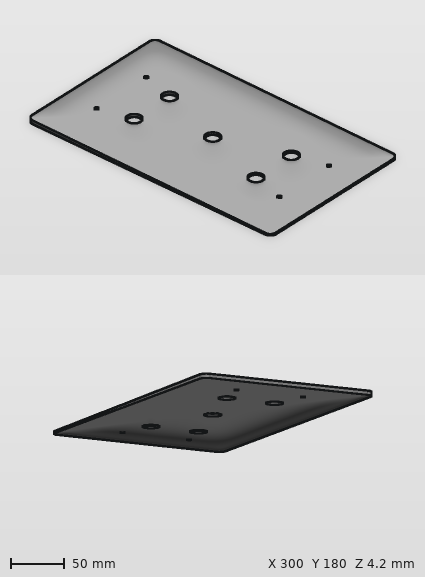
import cadquery as cq

length = 300.0
width = 180.0
thick_end = 4.2
thin_end = 1.9
corner_radius = 7.0

large_diameter = 16.0
large_spacing_x = length / 2
large_spacing_y = 50.0
small_diameter = 4.0
small_spacing_x = 0.75 * length
small_spacing_y = 70.2


def tapered_plate():
    """Flat-bottomed plate whose top slopes down toward +X, with rounded corners."""
    side_profile = [
        (-length / 2, 0),
        (length / 2, 0),
        (length / 2, thin_end),
        (-length / 2, thick_end),
    ]
    wedge = (
        cq.Workplane("XZ")
        .polyline(side_profile)
        .close()
        .extrude(width / 2, both=True)
    )
    return wedge.edges("|Z").fillet(corner_radius)


def hole_pins(diameter, pattern):
    """Vertical cutting cylinders at every position of the pattern."""
    return pattern.circle(diameter / 2).extrude(thick_end)


base = cq.Workplane("XY")
large_corners = base.rarray(large_spacing_x, large_spacing_y, 2, 2)
small_corners = base.rarray(small_spacing_x, small_spacing_y, 2, 2)

result = (
    tapered_plate()
    .cut(hole_pins(large_diameter, base))
    .cut(hole_pins(large_diameter, large_corners))
    .cut(hole_pins(small_diameter, small_corners))
)